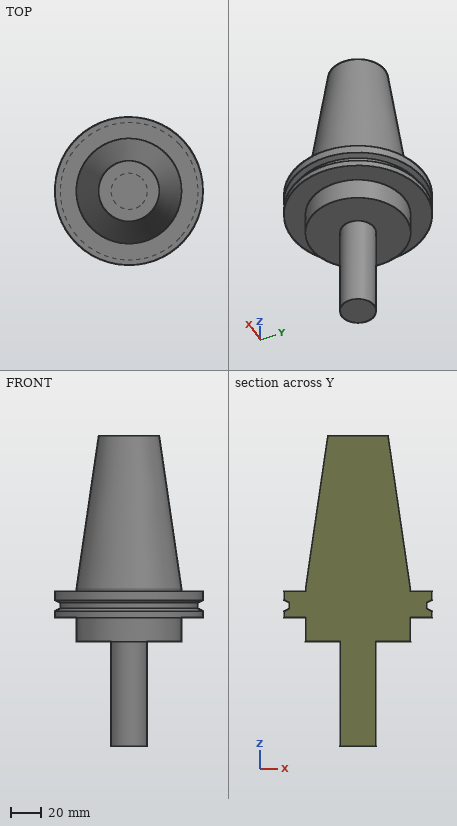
import cadquery as cq
import math

GAUGE_DIAMETER = 69.85
TAPER_RATIO = 7 / 24
TAPER_LENGTH = 101.6

NECK_LENGTH = 1.5

FLANGE_DIAMETER = 98.43
FLANGE_BOTTOM_DEPTH = 19.05
GROOVE_CENTRE_DEPTH = 11.1
GROOVE_FLOOR_DIAMETER = 91.29
GROOVE_FLOOR_WIDTH = 3.7
GROOVE_WALL_ANGLE = 26

NOSE_DIAMETER = GAUGE_DIAMETER
NOSE_END_DEPTH = 35.0
SHANK_DIAMETER = 24.0
SHANK_LENGTH = 69.5


def turned_body():
    """Taper, neck, plain flange, nose and shank as one revolved half-section."""
    gauge_radius = GAUGE_DIAMETER / 2
    tip_radius = gauge_radius - TAPER_RATIO * TAPER_LENGTH / 2
    flange_radius = FLANGE_DIAMETER / 2
    nose_radius = NOSE_DIAMETER / 2
    shank_radius = SHANK_DIAMETER / 2
    shank_end_depth = NOSE_END_DEPTH + SHANK_LENGTH
    half_section = [
        (0, TAPER_LENGTH),
        (tip_radius, TAPER_LENGTH),
        (gauge_radius, 0),
        (gauge_radius, -NECK_LENGTH),
        (flange_radius, -NECK_LENGTH),
        (flange_radius, -FLANGE_BOTTOM_DEPTH),
        (nose_radius, -FLANGE_BOTTOM_DEPTH),
        (nose_radius, -NOSE_END_DEPTH),
        (shank_radius, -NOSE_END_DEPTH),
        (shank_radius, -shank_end_depth),
        (0, -shank_end_depth),
    ]
    return cq.Workplane("XZ").polyline(half_section).close().revolve(360, (0, 0), (0, 1))


def groove_cutter():
    """Ring with the flat-bottomed V section of the flange groove."""
    floor_radius = GROOVE_FLOOR_DIAMETER / 2
    rim_radius = FLANGE_DIAMETER / 2
    half_floor = GROOVE_FLOOR_WIDTH / 2
    wall_rise = (rim_radius - floor_radius) * math.tan(math.radians(GROOVE_WALL_ANGLE))
    half_opening = half_floor + wall_rise
    half_section = [
        (floor_radius, half_floor),
        (rim_radius, half_opening),
        (rim_radius, -half_opening),
        (floor_radius, -half_floor),
    ]
    groove_plane = cq.Workplane("XZ", origin=(0, 0, -GROOVE_CENTRE_DEPTH))
    return groove_plane.polyline(half_section).close().revolve(360, (0, 0), (0, 1))


result = turned_body().cut(groove_cutter())